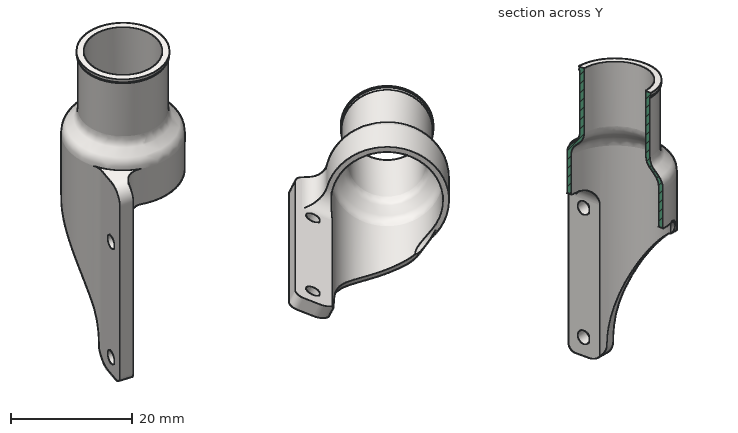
import cadquery as cq
import math

total_height = 57.0
plate_height = 40.0

spigot_outer_radius = 15.0 / 2
spigot_bore_radius = 13.0 / 2
lip_radius = 15.4 / 2
lip_straight_height = 0.6
lip_taper_height = 0.4

reducer_height = 5.0
reducer_top = plate_height + reducer_height

collar_outer_radius = 20.5 / 2
collar_wall = 1.0
collar_bore_radius = collar_outer_radius - collar_wall
collar_bottom = 32.6

plate_right = 14.25
plate_front = -7.85
plate_thickness = 2.5
plate_back = plate_front + plate_thickness
plate_top_corner = 3.0
plate_bottom_corner = 1.5
front_blend_radius = 3.0
back_blend_radius = 3.0

shroud_left = 6.8
shroud_sweep_radius = 30.0
shroud_bottom_corner = 3.0
undercut_radius = 3.5
ease_radius = 4.0
ease_start_x = -6.9
ease_end_lean = 25.0

hole_diameter = 2.5
hole_x = 11.0
hole_lowest = 3.5
hole_spacing = 24.0
hole_count = 2

cut_clearance = 1.0


def revolve_profile(profile):
    return profile.close().revolve(360, (0, 0, 0), (0, 1, 0))


def make_outer_neck():
    """Solid reducer, spigot and lip above the collar."""
    lip_bottom = total_height - lip_straight_height
    profile = (
        cq.Workplane("XZ")
        .moveTo(0, plate_height)
        .lineTo(collar_outer_radius, plate_height)
        .spline([(spigot_outer_radius, reducer_top)], tangents=[(0, 1), (0, 1)], includeCurrent=True)
        .lineTo(spigot_outer_radius, lip_bottom - lip_taper_height)
        .lineTo(lip_radius, lip_bottom)
        .lineTo(lip_radius, total_height)
        .lineTo(0, total_height)
    )
    return revolve_profile(profile)


def make_bore():
    """Inner space: collar bore, reducer and spigot bore."""
    profile = (
        cq.Workplane("XZ")
        .lineTo(collar_bore_radius, 0)
        .lineTo(collar_bore_radius, plate_height)
        .spline([(spigot_bore_radius, reducer_top)], tangents=[(0, 1), (0, 1)], includeCurrent=True)
        .lineTo(spigot_bore_radius, total_height)
        .lineTo(0, total_height)
    )
    return revolve_profile(profile)


def blend_points(face_y, blend_radius, side):
    """Ends and midpoint of the arc tangent to the collar and to a plate face.

    side is -1 for the front face and +1 for the back face.
    """
    center_y = face_y + side * blend_radius
    center_x = math.sqrt((collar_outer_radius + blend_radius) ** 2 - center_y**2)
    to_collar = collar_outer_radius / (collar_outer_radius + blend_radius)
    on_collar = (center_x * to_collar, center_y * to_collar)
    on_plate = (center_x, face_y)
    mid_x = (on_collar[0] + on_plate[0]) / 2 - center_x
    mid_y = (on_collar[1] + on_plate[1]) / 2 - center_y
    stretch = blend_radius / math.hypot(mid_x, mid_y)
    middle = (center_x + mid_x * stretch, center_y + mid_y * stretch)
    return on_collar, middle, on_plate


def make_collar_and_plate():
    """Collar cylinder with the plate blended into its side, at full plate height."""
    front_collar, front_middle, front_plate = blend_points(plate_front, front_blend_radius, -1)
    back_collar, back_middle, back_plate = blend_points(plate_back, back_blend_radius, 1)
    plate = (
        cq.Workplane("XY")
        .lineTo(*front_collar)
        .threePointArc(front_middle, front_plate)
        .lineTo(plate_right, plate_front)
        .lineTo(plate_right, plate_back)
        .lineTo(*back_plate)
        .threePointArc(back_middle, back_collar)
        .close()
        .extrude(plate_height)
    )
    return cq.Workplane("XY").circle(collar_outer_radius).extrude(plate_height).union(plate)


def polar_point(center, radius, angle):
    """Point on a circle, with the angle in degrees from the horizontal."""
    turn = math.radians(angle)
    return center[0] + radius * math.cos(turn), center[1] + radius * math.sin(turn)


def make_front_outline():
    """Outline of the collar, shroud and plate in XZ, extruded across the whole depth.

    The long concave sweep of the shroud is eased by a convex arc into a steep flank,
    which ends at the bottom of the collar.
    """
    left = -collar_outer_radius
    sweep_center = (shroud_left - shroud_sweep_radius, shroud_bottom_corner)
    sweep_angle = math.degrees(math.acos((ease_start_x - sweep_center[0]) / shroud_sweep_radius))

    ease_center = polar_point(sweep_center, shroud_sweep_radius + ease_radius, sweep_angle)
    ease_first_angle = 180 + ease_end_lean
    ease_last_angle = 180 + sweep_angle
    ease_first = polar_point(ease_center, ease_radius, ease_first_angle)
    ease_middle = polar_point(ease_center, ease_radius, (ease_first_angle + ease_last_angle) / 2)
    ease_last = polar_point(ease_center, ease_radius, ease_last_angle)
    flank_rise = collar_bottom - ease_first[1]
    flank_top_x = ease_first[0] - flank_rise * math.tan(math.radians(ease_end_lean))

    return (
        cq.Workplane("XZ")
        .moveTo(left, plate_height)
        .lineTo(left, collar_bottom)
        .lineTo(flank_top_x, collar_bottom)
        .lineTo(*ease_first)
        .threePointArc(ease_middle, ease_last)
        .threePointArc(
            polar_point(sweep_center, shroud_sweep_radius, sweep_angle / 2),
            (shroud_left, shroud_bottom_corner),
        )
        .radiusArc((shroud_left + shroud_bottom_corner, 0), -shroud_bottom_corner)
        .lineTo(plate_right - plate_bottom_corner, 0)
        .radiusArc((plate_right, plate_bottom_corner), -plate_bottom_corner)
        .lineTo(plate_right, plate_height - plate_top_corner)
        .radiusArc((plate_right - plate_top_corner, plate_height), -plate_top_corner)
        .close()
        .extrude(collar_outer_radius, both=True)
    )


def make_undercut():
    """Space below the collar and behind the plate, with a rounded inner corner."""
    back = collar_outer_radius + cut_clearance
    reach = plate_right + cut_clearance
    below = -cut_clearance
    return (
        cq.Workplane("YZ")
        .moveTo(back, below)
        .lineTo(plate_back, below)
        .lineTo(plate_back, collar_bottom - undercut_radius)
        .radiusArc((plate_back + undercut_radius, collar_bottom), undercut_radius)
        .lineTo(back, collar_bottom)
        .close()
        .extrude(reach, both=True)
    )


def make_screw_holes():
    centers = [(hole_x, hole_lowest + i * hole_spacing) for i in range(hole_count)]
    return (
        cq.Workplane("XZ")
        .pushPoints(centers)
        .circle(hole_diameter / 2)
        .extrude(collar_outer_radius)
    )


body = make_collar_and_plate().intersect(make_front_outline()).cut(make_undercut())
result = body.union(make_outer_neck()).cut(make_bore()).cut(make_screw_holes())